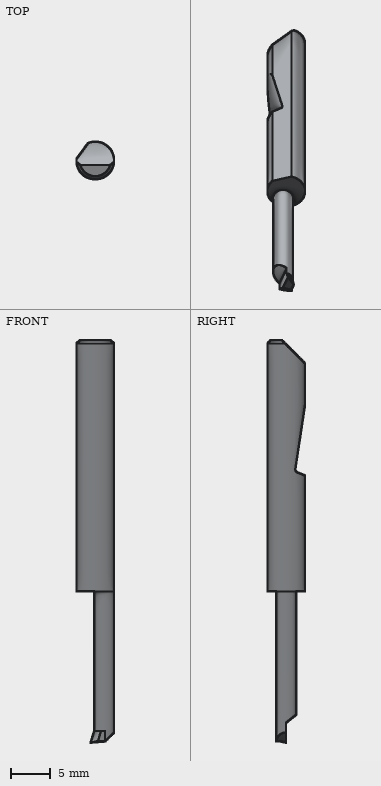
import cadquery as cq

total_length = 50.8
shank_radius = 2.4
shank_bottom = 19.1
end_chamfer = 0.4
slope_start_y = -0.55

flat_angle = 143.5
flat_distance = 2.05

notch_top = 42.65
notch_root_z = 34.25
notch_bottom = 33.7
notch_root_y = 1.1
notch_fillet = 0.4

neck_radius = 1.25
neck_x = shank_radius - neck_radius
half_cut_bottom = 2.55
half_cut_top = 3.55

tip_top = 1.45
tip_right = 1.2
tip_back_y = -1.15
corner_top = 1.3
cutting_edge_top_x = neck_x - neck_radius
cutting_point_x = -0.6
relief_top_x = 0.7
relief_bottom_x = 0.35
bottom_relief = 0.25
bottom_rise = 0.15

clearance = 0.5


def extrude_along_x(points):
    """Prism with a (Y, Z) outline, wider than the whole shank."""
    prism = cq.Workplane("YZ").polyline(points).close()
    return prism.extrude(shank_radius + clearance, both=True)


def make_shank():
    shank = (
        cq.Workplane("XY")
        .workplane(offset=shank_bottom)
        .circle(shank_radius)
        .extrude(total_length - shank_bottom)
        .faces(">Z")
        .chamfer(end_chamfer)
    )
    return shank.cut(make_end_slope()).cut(make_flat()).cut(make_notch())


def make_end_slope():
    outer_y = shank_radius + clearance
    return extrude_along_x([
        (slope_start_y, total_length),
        (outer_y, total_length - (outer_y - slope_start_y)),
        (outer_y, total_length),
    ])


def make_flat():
    depth = shank_radius - flat_distance + clearance
    cutter = cq.Workplane("XY").box(
        depth, 2 * shank_radius, total_length, centered=(False, True, False)
    )
    return cutter.translate((flat_distance, 0, 0)).rotate((0, 0, 0), (0, 0, 1), flat_angle)


def make_notch():
    outer_y = shank_radius + clearance
    cutter = extrude_along_x([
        (shank_radius, notch_top),
        (notch_root_y, notch_root_z),
        (shank_radius, notch_bottom),
        (outer_y, notch_bottom),
        (outer_y, notch_top),
    ])
    return cutter.edges("|X").edges("<Y").fillet(notch_fillet)


def make_neck():
    neck = cq.Workplane("XY").center(neck_x, 0).circle(neck_radius).extrude(shank_bottom)
    half_cut = extrude_along_x([
        (0, -clearance),
        (0, half_cut_bottom),
        (neck_radius, half_cut_top),
        (neck_radius + clearance, half_cut_top),
        (neck_radius + clearance, -clearance),
    ])
    tip_space = cq.Workplane("XY").box(
        2 * shank_radius, 2 * shank_radius, tip_top, centered=(False, True, False)
    ).translate((tip_right - 2 * shank_radius, 0, 0))
    corner = (
        cq.Workplane("XZ")
        .polyline([(tip_right, bottom_rise), (shank_radius, corner_top), (shank_radius, 0), (tip_right, 0)])
        .close()
        .extrude(shank_radius, both=True)
    )
    return neck.cut(half_cut).cut(tip_space).cut(corner)


def make_cutter():
    """Cutting face on the XZ plane, relieved at its side and bottom towards -Y."""
    return (
        cq.Workplane("XZ")
        .polyline([
            (cutting_edge_top_x, tip_top),
            (cutting_point_x, 0),
            (tip_right, bottom_rise),
            (tip_right, tip_top),
        ])
        .close()
        .workplane(offset=-tip_back_y)
        .polyline([
            (relief_top_x, tip_top),
            (relief_bottom_x, bottom_relief),
            (tip_right, bottom_relief),
            (tip_right, tip_top),
        ])
        .close()
        .loft(ruled=True)
    )


result = make_shank().union(make_neck()).union(make_cutter())